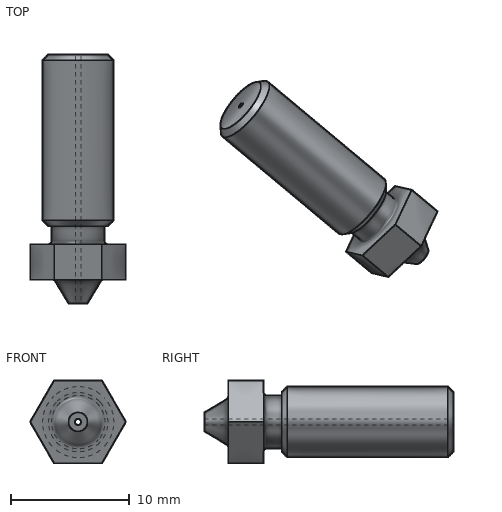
import cadquery as cq
import math

total_length = 21.0
tip_length = 2.0
hex_length = 3.0
neck_length = 1.5

hex_sides = 6
hex_across_flats = 7.0
shank_diameter = 6.0
neck_diameter = 4.5
cone_base_diameter = 4.0
tip_diameter = 1.6
orifice_diameter = 0.5

shank_chamfer = 0.5
root_fillet = 0.25

hex_across_corners = hex_across_flats / math.cos(math.pi / hex_sides)
hex_start = tip_length
neck_start = hex_start + hex_length
shank_start = neck_start + neck_length
shank_length = total_length - shank_start


def section_plane(y):
    """Plane across the axis at height y, with its normal along +Y."""
    return cq.Workplane(cq.Plane(origin=(0, y, 0), xDir=(1, 0, 0), normal=(0, 1, 0)))


def make_tip():
    """Cone that widens from the flat tip to the hexagon."""
    tip_radius = tip_diameter / 2
    base_radius = cone_base_diameter / 2
    profile = (
        cq.Workplane("XY")
        .polyline([(0, 0), (tip_radius, 0), (base_radius, tip_length), (0, tip_length)])
        .close()
    )
    return profile.revolve(360, (0, 0, 0), (0, 1, 0))


def make_hexagon():
    """Wrench hexagon with corners on the X axis and flats facing up and down."""
    return section_plane(hex_start).polygon(hex_sides, hex_across_corners).extrude(hex_length)


def make_neck():
    """Relief groove between the hexagon and the shank."""
    return section_plane(neck_start).circle(neck_diameter / 2).extrude(neck_length)


def make_shank():
    """Cylindrical shank, chamfered at both ends."""
    shank = section_plane(shank_start).circle(shank_diameter / 2).extrude(shank_length)
    return shank.faces("<Y or >Y").edges().chamfer(shank_chamfer)


def fillet_hexagon_roots(body):
    """Round the corners where the cone and the neck meet the hexagon faces."""
    for y in (hex_start, neck_start):
        root_edge = cq.selectors.BoxSelector(
            (-shank_diameter / 2, y - root_fillet, -shank_diameter / 2),
            (shank_diameter / 2, y + root_fillet, shank_diameter / 2),
            boundingbox=True,
        )
        body = body.edges("%CIRCLE").edges(root_edge).fillet(root_fillet)
    return body


def make_orifice():
    """Straight bore along the whole axis."""
    return section_plane(0).circle(orifice_diameter / 2).extrude(total_length)


nozzle = make_tip().union(make_hexagon()).union(make_neck()).union(make_shank())
nozzle = fillet_hexagon_roots(nozzle)
result = nozzle.cut(make_orifice())